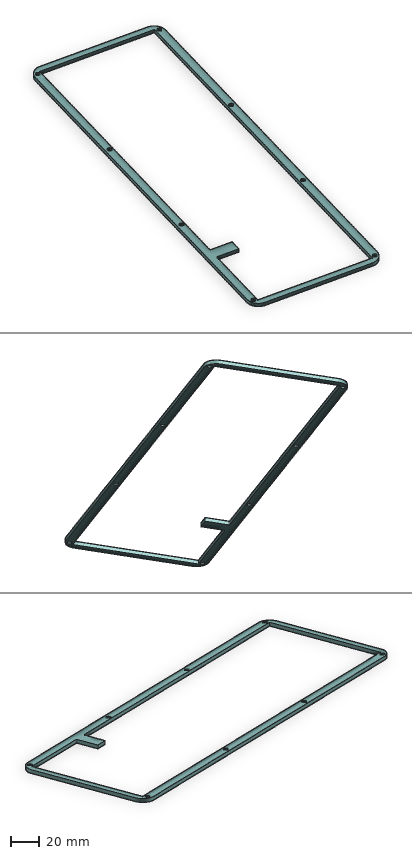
import cadquery as cq

length = 315.7
width = 108.0
thickness = 3.0
corner_radius = 9.5
end_rail_width = 5.0
front_rail_width = 6.3
back_rail_width = 6.5

hole_diameter = 3.5
hole_pitch = 100.7
holes_per_row = 4
row_spacing = 100.7

tab_width = 9.5
tab_reach = 18.3
tab_center_x = 90.5
tab_root_radius = 1.0

window_length = length - 2 * end_rail_width
window_width = width - front_rail_width - back_rail_width
window_front_y = -width / 2 + front_rail_width
window_center_y = window_front_y + window_width / 2


def make_frame():
    """Rounded rectangular ring with a sharp-cornered window."""
    plate = cq.Workplane("XY").box(length, width, thickness).edges("|Z").fillet(corner_radius)
    window = (
        cq.Workplane("XY")
        .box(window_length, window_width, thickness)
        .translate((0, window_center_y, 0))
    )
    return plate.cut(window)


def make_tab():
    """Rectangular tab that starts at the outer face of the front rail."""
    tab_length = front_rail_width + tab_reach
    tab_center_y = -width / 2 + tab_length / 2
    return (
        cq.Workplane("XY")
        .box(tab_width, tab_length, thickness)
        .translate((tab_center_x, tab_center_y, 0))
    )


def round_tab_roots(body):
    """Fillet the inner corners where the tab's sides meet the rail."""
    for side in (-1, 1):
        root_point = (tab_center_x + side * tab_width / 2, window_front_y, 0)
        root_edge = cq.selectors.NearestToPointSelector(root_point)
        body = body.edges("|Z").edges(root_edge).fillet(tab_root_radius)
    return body


def make_holes():
    """Through holes in a regular grid centred on the frame."""
    return (
        cq.Workplane("XY")
        .rarray(hole_pitch, row_spacing, holes_per_row, 2)
        .circle(hole_diameter / 2)
        .extrude(thickness, both=True)
    )


result = round_tab_roots(make_frame().union(make_tab())).cut(make_holes())